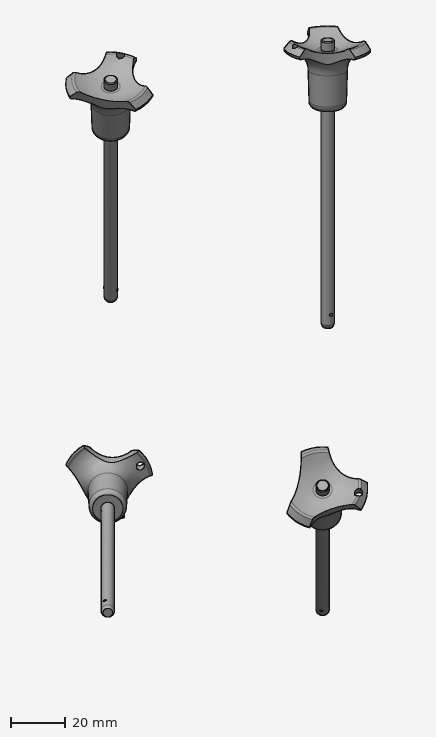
import cadquery as cq
import math


overall_length = 112.7
handle_height = 26.55
pin_radius = 2.5
pin_length = overall_length - handle_height
tip_flat_radius = 1.75
tip_height = 1.5
tip_bulge = 0.25

ball_radius = 0.8
ball_protrusion = 0.25
ball_height = 5.5

grip_end_radius = 5.6
grip_bottom_radius = 6.95
grip_bottom_z = 2.3
grip_round_middle = (6.6, 0.95)
grip_top_radius = 7.3
grip_top_z = 14.6

flare_radius = 8.2
rim_radius = 16.585
rim_edge_fillet = 0.65
rim_bevel_angle = math.radians(46)
crest_radius = 0.85
crest_centre_r = 13.75
crest_centre_z = handle_height - crest_radius

dish_radius = 22.8
dish_flat_radius = 3.5
dish_centre_z = crest_centre_z + math.sqrt((dish_radius + crest_radius) ** 2 - crest_centre_r**2)
button_radius = 2.5
button_top_z = 26.15
button_chamfer = 0.4

side_scallop_radius = 15.0
side_scallop_x = 20.3
side_scallop_y = 13.0
front_scallop_radius = 50.0
front_scallop_edge_y = -9.2

lanyard_hole_diameter = 3.0
lanyard_hole_y = 13.5


def dish_z(radius):
    """Height of the spherical dish at a given distance from the axis."""
    return dish_centre_z - math.sqrt(dish_radius**2 - radius**2)


def make_handle_blank():
    """Full round handle, before the lobes are cut."""
    arc_45 = math.sqrt(0.5)
    flare_end_r = grip_top_radius + flare_radius
    flare_end_z = grip_top_z + flare_radius
    flare_middle = (flare_end_r - flare_radius * arc_45, grip_top_z + flare_radius * arc_45)

    fillet_centre_r = rim_radius - rim_edge_fillet
    fillet_end_z = flare_end_z + rim_edge_fillet
    fillet_middle = (
        fillet_centre_r + rim_edge_fillet * arc_45,
        fillet_end_z - rim_edge_fillet * arc_45,
    )

    bevel_start_r = crest_centre_r + crest_radius * math.sin(rim_bevel_angle)
    bevel_start_z = crest_centre_z + crest_radius * math.cos(rim_bevel_angle)
    bevel_end_z = bevel_start_z - (rim_radius - bevel_start_r) * math.tan(rim_bevel_angle)

    dish_start_r = crest_centre_r * dish_radius / (dish_radius + crest_radius)
    dish_start = (dish_start_r, dish_z(dish_start_r))
    dish_middle_r = (dish_start_r + dish_flat_radius) / 2
    dish_middle = (dish_middle_r, dish_z(dish_middle_r))
    dish_floor_z = dish_z(dish_flat_radius)

    profile = (
        cq.Workplane("XZ")
        .lineTo(grip_end_radius, 0)
        .threePointArc(grip_round_middle, (grip_bottom_radius, grip_bottom_z))
        .lineTo(grip_top_radius, grip_top_z)
        .threePointArc(flare_middle, (flare_end_r, flare_end_z))
        .lineTo(fillet_centre_r, flare_end_z)
        .threePointArc(fillet_middle, (rim_radius, fillet_end_z))
        .lineTo(rim_radius, bevel_end_z)
        .lineTo(bevel_start_r, bevel_start_z)
        .threePointArc((crest_centre_r, handle_height), dish_start)
        .threePointArc(dish_middle, (dish_flat_radius, dish_floor_z))
        .lineTo(0, dish_floor_z)
        .close()
    )
    return profile.revolve(360, (0, 0, 0), (0, 1, 0))


def make_scallops():
    """Cutters for the two equal side scallops and the shallow front one."""
    cutter_bottom = cq.Workplane("XY").workplane(offset=grip_top_z)
    cutter_height = handle_height - grip_top_z
    sides = (
        cutter_bottom.pushPoints([(side * side_scallop_x, side_scallop_y) for side in (-1, 1)])
        .circle(side_scallop_radius)
        .extrude(cutter_height)
    )
    front = (
        cutter_bottom.center(0, front_scallop_edge_y - front_scallop_radius)
        .circle(front_scallop_radius)
        .extrude(cutter_height)
    )
    return sides.union(front)


def make_lanyard_hole():
    return (
        cq.Workplane("XY")
        .center(0, lanyard_hole_y)
        .circle(lanyard_hole_diameter / 2)
        .extrude(handle_height)
    )


def make_button():
    base_z = dish_z(0)
    return (
        cq.Workplane("XY")
        .workplane(offset=base_z)
        .circle(button_radius)
        .extrude(button_top_z - base_z)
        .faces(">Z")
        .chamfer(button_chamfer)
    )


def make_pin():
    """Straight pin with a rounded lead-in at the tip."""
    tip_middle = (pin_radius - tip_bulge, -pin_length + tip_height / 2)
    profile = (
        cq.Workplane("XZ")
        .lineTo(pin_radius, 0)
        .lineTo(pin_radius, -pin_length + tip_height)
        .threePointArc(tip_middle, (tip_flat_radius, -pin_length))
        .lineTo(0, -pin_length)
        .close()
    )
    return profile.revolve(360, (0, 0, 0), (0, 1, 0))


def make_balls():
    centre_x = pin_radius + ball_protrusion - ball_radius
    centre_z = ball_height - pin_length
    balls = cq.Workplane("XY").pushPoints([(-centre_x, 0), (centre_x, 0)]).sphere(ball_radius)
    return balls.translate((0, 0, centre_z))


handle = make_handle_blank().cut(make_scallops()).cut(make_lanyard_hole())
result = handle.union(make_button()).union(make_pin()).union(make_balls())